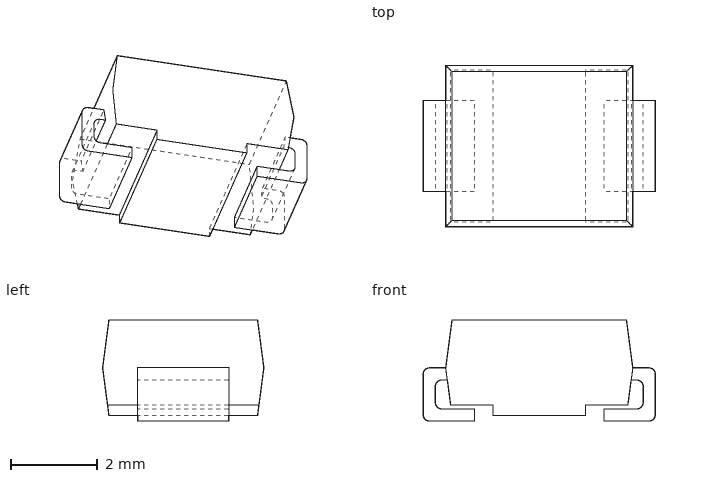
import cadquery as cq
import math

overall_length = 5.35
body_width = 3.72
overall_height = 2.33

body_length = 4.31
parting_height = 1.23
body_draft = 7.5
step_length = 2.14
step_bottom = 0.13
body_bottom = 0.37

lead_width = 2.095
lead_thickness = 0.285
foot_length = 1.19
bend_radius = 0.15
lead_embed = 0.27
selection_margin = 0.055


def drafted_block(height):
    """Block from the parting plane, narrowing away from it; negative height goes down."""
    inset = abs(height) * math.tan(math.radians(body_draft))
    return (
        cq.Workplane("XY", origin=(0, 0, parting_height))
        .rect(body_length, body_width)
        .workplane(offset=height)
        .rect(body_length - 2 * inset, body_width - 2 * inset)
        .loft(ruled=True)
    )


def body():
    """Drafted body whose underside keeps a central step."""
    upper = drafted_block(overall_height - parting_height)
    lower = drafted_block(step_bottom - parting_height)
    relief = cq.Workplane("XY").box(
        body_length, body_width, body_bottom, centered=(True, True, False)
    )
    for side in (-1, 1):
        lower = lower.cut(relief.translate((side * (step_length + body_length) / 2, 0, 0)))
    return upper.union(lower)


def left_lead():
    """C-shaped strip: upper arm into the body, outer wall, and foot under the body."""
    outer_x = -overall_length / 2
    inner_x = outer_x + lead_thickness
    arm_end_x = -body_length / 2 + lead_embed
    foot_end_x = outer_x + foot_length
    arm_bottom = parting_height - lead_thickness
    strip = (
        cq.Workplane("XZ")
        .moveTo(foot_end_x, 0)
        .lineTo(outer_x, 0)
        .lineTo(outer_x, parting_height)
        .lineTo(arm_end_x, parting_height)
        .lineTo(arm_end_x, arm_bottom)
        .lineTo(inner_x, arm_bottom)
        .lineTo(inner_x, lead_thickness)
        .lineTo(foot_end_x, lead_thickness)
        .close()
        .extrude(lead_width / 2, both=True)
    )
    wall_edges = cq.selectors.BoxSelector(
        (outer_x - selection_margin, -lead_width, -selection_margin),
        (inner_x + selection_margin, lead_width, parting_height + selection_margin),
    )
    return strip.edges("|Y").edges(wall_edges).fillet(bend_radius)


lead = left_lead()
result = body().union(lead).union(lead.mirror("YZ"))